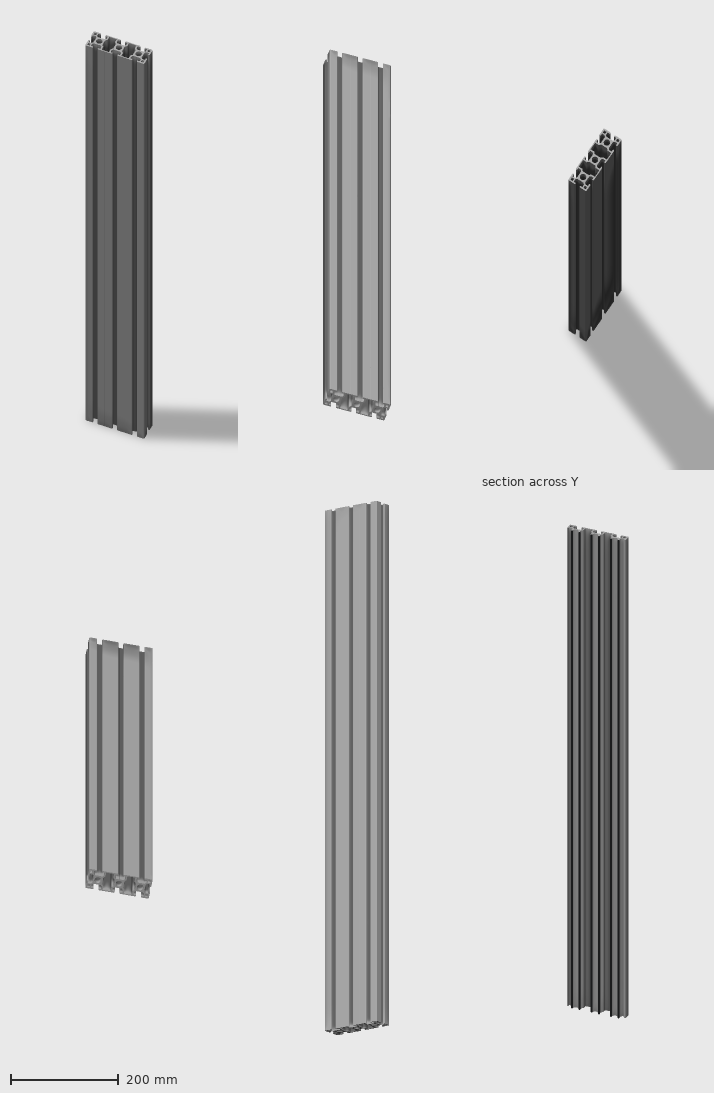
import cadquery as cq

cell = 40.0
cell_count = 3
length = 1000.0
corner_radius = 2.0

slot_mouth = 9.5
mouth_radius = 1.5
lip_thickness = 3.0
slot_width = 19.0
slot_floor_width = 14.0
floor_groove_width = 1.0

core_width = 18.0
bore_diameter = 12.0
chamber_wall = 3.0
chamber_waist = 13.0
skin_thickness = 2.0

corner_hole = 5.0
corner_hole_inset = 3.0

mark_width = 0.5

half_cell = cell / 2
half_core = core_width / 2
half_slot = slot_width / 2
bar_width = cell_count * cell
cell_centres = [(i - (cell_count - 1) / 2) * cell for i in range(cell_count)]
chamber_centres = [x + half_cell for x in cell_centres[:-1]]


def prism(outline):
    """Extrude a closed XY outline along the whole bar."""
    return outline.extrude(length)


def with_mirror(points):
    """Complete a half outline with its mirror image across X = 0."""
    return points + [(-x, y) for x, y in reversed(points) if x != 0]


def placed(cutter, x, angle):
    """Turn a cutter about Z, then move it along X."""
    return cutter.rotate((0, 0, 0), (0, 0, 1), angle).translate((x, 0, 0))


def slot_cutter():
    """T-slot opening toward +Y, with a rounded mouth and a V groove in its floor."""
    mouth = slot_mouth / 2
    floor = slot_floor_width / 2
    groove = floor_groove_width / 2
    lip_y = half_cell - lip_thickness
    half_outline = [
        (mouth, half_cell),
        (mouth, lip_y),
        (half_slot, lip_y),
        (half_slot, half_core + half_slot - floor),
        (floor, half_core),
        (groove, half_core),
        (0, half_core - groove),
    ]
    slot = prism(cq.Workplane("XY").polyline(with_mirror(half_outline)).close())

    reach = mouth + mouth_radius
    round_y = half_cell - mouth_radius
    rounding = (
        cq.Workplane("XY")
        .moveTo(reach, half_cell)
        .radiusArc((mouth, round_y), -mouth_radius)
        .lineTo(-mouth, round_y)
        .radiusArc((-reach, half_cell), -mouth_radius)
        .close()
    )
    return slot.union(prism(rounding))


def chamber_cutter():
    """Hollow between two cores: narrow beside the slots, widest at the waist."""
    side = half_cell - half_slot - chamber_wall
    core_side = half_cell - half_core
    top = half_cell - skin_thickness
    waist = chamber_waist / 2
    shoulder = waist + core_side - side
    half_outline = [
        (side, top),
        (side, shoulder),
        (core_side, waist),
        (core_side, -waist),
        (side, -shoulder),
        (side, -top),
    ]
    return prism(cq.Workplane("XY").polyline(with_mirror(half_outline)).close())


def mark_cutter():
    """Shallow V groove in the +Y face, centred on X = 0."""
    half = mark_width / 2
    outline = with_mirror([(half, half_cell), (0, half_cell - half)])
    return prism(cq.Workplane("XY").polyline(outline).close())


body = prism(cq.Workplane("XY").rect(bar_width, cell)).edges("|Z").fillet(corner_radius)

slot = slot_cutter()
for x in cell_centres:
    for angle in (0, 180):
        body = body.cut(placed(slot, x, angle))
for x, angle in ((cell_centres[0], 90), (cell_centres[-1], -90)):
    body = body.cut(placed(slot, x, angle))

chamber = chamber_cutter()
mark = mark_cutter()
for x in chamber_centres:
    body = body.cut(placed(chamber, x, 0))
    for angle in (0, 180):
        body = body.cut(placed(mark, x, angle))

bores = cq.Workplane("XY").pushPoints([(x, 0) for x in cell_centres]).circle(bore_diameter / 2)
body = body.cut(prism(bores))

hole_setback = 2 * corner_hole_inset + corner_hole
corners = cq.Workplane("XY").rect(bar_width - hole_setback, cell - hole_setback, forConstruction=True)
body = body.cut(prism(corners.vertices().rect(corner_hole, corner_hole)))

result = body